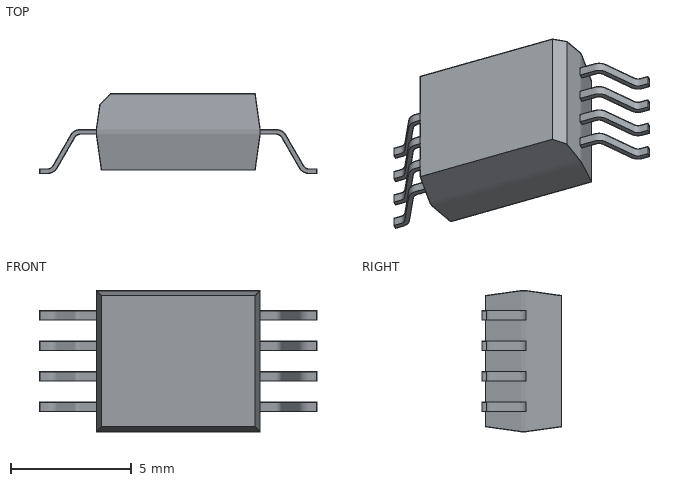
import cadquery as cq
import math


lead_span = 11.5
overall_depth = 3.31
housing_height = 5.85

housing_width = 6.8
standoff = 0.15
draft_angle = 8.0
bevel_width = 0.39

leads_per_side = 4
lead_pitch = 1.26
lead_thickness = 0.2
lead_height = 0.39
foot_length = 0.32
bend_angle = 60.0
inner_bend_radius = 0.28

foot_underside_y = -overall_depth / 2
housing_front_y = foot_underside_y + standoff
housing_back_y = overall_depth / 2
taper_depth = (housing_back_y - housing_front_y - lead_thickness) / 2
band_front_y = housing_front_y + taper_depth
band_back_y = band_front_y + lead_thickness

bend = math.radians(bend_angle)
mid_bend_radius = inner_bend_radius + lead_thickness / 2
lead_drop = band_front_y - foot_underside_y
slope_length = (lead_drop - 2 * mid_bend_radius * (1 - math.cos(bend))) / math.sin(bend)


def make_housing():
    """Straight parting band with a drafted block on each face and a bevel along one back edge."""
    def section(y):
        return cq.Workplane("XZ", origin=(0, y, 0)).rect(housing_width, housing_height)

    band = section(band_front_y).extrude(-lead_thickness)
    front_block = section(band_front_y).extrude(taper_depth, taper=draft_angle)
    back_block = section(band_back_y).extrude(-taper_depth, taper=draft_angle)
    return band.union(front_block).union(back_block).cut(make_bevel_cutter())


def make_bevel_cutter():
    """Triangular prism that removes the back -X edge at 45 degrees."""
    back_corner_x = -housing_width / 2 + taper_depth * math.tan(math.radians(draft_angle))
    bevel_start_x = back_corner_x + bevel_width
    leg = 2 * bevel_width
    return (
        cq.Workplane("XY")
        .moveTo(bevel_start_x, housing_back_y)
        .lineTo(bevel_start_x - leg, housing_back_y - leg)
        .lineTo(bevel_start_x - leg, housing_back_y)
        .close()
        .extrude(housing_height / 2, both=True)
    )


def make_left_lead(z):
    """Gull-wing lead centred at height z, from its tip to the -X side of the parting band."""
    outer_bend_radius = inner_bend_radius + lead_thickness
    slope_x = slope_length * math.cos(bend)
    slope_y = slope_length * math.sin(bend)
    tip_x = -lead_span / 2
    lower_bend_x = tip_x + foot_length
    upper_bend_x = lower_bend_x + 2 * mid_bend_radius * math.sin(bend) + slope_x

    inner_x = inner_bend_radius * math.sin(bend)
    inner_y = inner_bend_radius * (1 - math.cos(bend))
    outer_x = outer_bend_radius * math.sin(bend)
    outer_y = outer_bend_radius * (1 - math.cos(bend))

    profile = (
        cq.Workplane("XY", origin=(0, 0, z))
        .moveTo(tip_x, foot_underside_y)
        .lineTo(lower_bend_x, foot_underside_y)
        .tangentArcPoint((outer_x, outer_y))
        .line(slope_x, slope_y)
        .tangentArcPoint((inner_x, inner_y))
        .lineTo(-housing_width / 2, band_front_y)
        .lineTo(-housing_width / 2, band_back_y)
        .lineTo(upper_bend_x, band_back_y)
        .tangentArcPoint((-outer_x, -outer_y))
        .line(-slope_x, -slope_y)
        .tangentArcPoint((-inner_x, -inner_y))
        .lineTo(tip_x, foot_underside_y + lead_thickness)
        .close()
    )
    return profile.extrude(lead_height / 2, both=True)


housing = make_housing()

leads = []
for index in range(leads_per_side):
    lead_z = (index - (leads_per_side - 1) / 2) * lead_pitch
    left_lead = make_left_lead(lead_z)
    right_lead = left_lead.mirror("YZ")
    leads += [left_lead.val(), right_lead.val()]

result = cq.Compound.makeCompound([housing.val(), *leads])